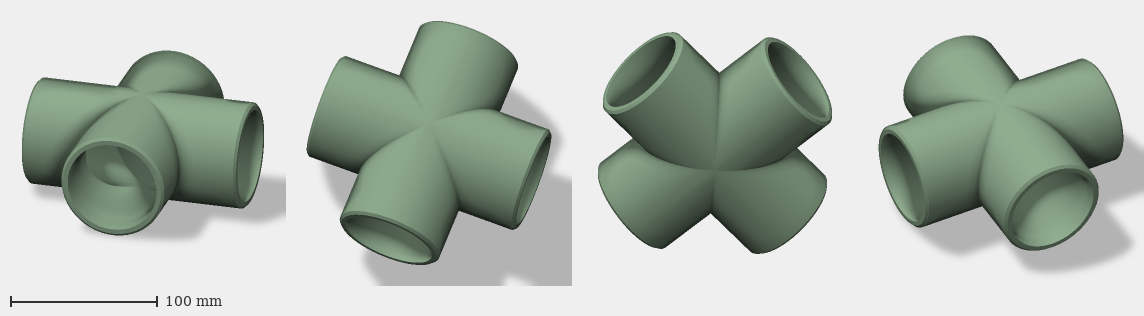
import cadquery as cq

length = 152.0
outer_diameter = 73.0
bore_diameter = 63.0
bevel = 1.8


def along_both_axes(solid_along_x):
    """Join a solid lying along X with its copy turned to lie along Y."""
    turned = solid_along_x.rotate((0, 0, 0), (0, 0, 1), 90)
    return solid_along_x.union(turned)


def rod(diameter):
    """Round rod along X, centred on the origin."""
    return cq.Workplane("YZ").circle(diameter / 2).extrude(length / 2, both=True)


body = along_both_axes(rod(outer_diameter).faces("<X or >X").chamfer(bevel))

bores = along_both_axes(rod(bore_diameter))

result = body.cut(bores)